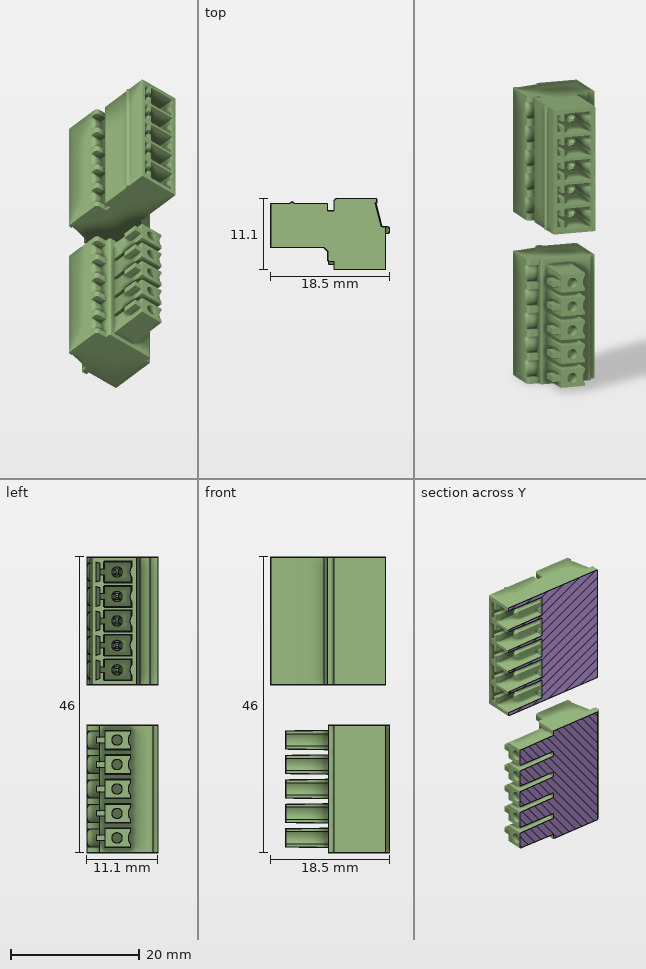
import cadquery as cq
import math

total_height = 46.05
pole_count = 5
pole_pitch = 3.805
half_height = 19.9

contact_y = 6.4
body_step_x = 9.85
body_back_x = 17.9
body_top_y = 11.1
notch_floor_y = 9.15
block_corner_radius = 0.55
front_edge_radius = 0.28

slope_top_x = 16.25
slope_top_y = 10.4
slope_bottom_x = 17.2
shoulder_y = 6.67
lip_back_x = 16.52
lip_corner_radius = 0.25

relief_width = 2.8
relief_crest_x = 10.55
relief_bottom_radius = 2.1

socket_base_z = total_height - half_height
shroud_bottom_y = 3.4
shroud_top_y = 10.3
shroud_end_x = 8.9
shroud_chamfer = 0.6
shroud_corner_radius = 0.25
socket_step_y = 1.25
ridge_x = 3.35
ridge_height = 0.28
ridge_half_width = 0.35

cavity_depth = 6.67
cavity_mouth_height = 3.35
cavity_floor_height = 3.18
cavity_mouth_bottom_y = 4.05
cavity_floor_bottom_y = 4.25
cavity_top_y = 8.4
entry_step_depth = 0.45
entry_step_top_y = 8.5
cavity_rib_diameter = 2.8
cavity_rib_crest_y = 4.35

key_slot_width = 0.87
key_slot_top_y = 9.0
coding_top_y = 9.7
coding_inner_width = 2.65
coding_outer_width = 3.1
coding_depth = 5.52

pin_side = 0.9
pin_tip_side = 0.35
pin_tip_length = 0.45
pin_tip_x = 2.0
pin_recess_diameter = 1.6
pin_recess_depth = 0.45

plug_front_x = 8.98
plug_step_y = 0.8
plug_slope_offset = 0.15
tab_bottom_y = 5.6
tab_back_x = 18.5
tab_corner_radius = 0.3

leg_tip_x = 2.35
leg_bottom_y = 4.3
leg_top_y = 8.3
leg_tip_height = 2.85
leg_root_height = 3.05
leg_groove_diameter = 2.9
leg_groove_depth = 0.35
leg_hole_diameter = 1.6
leg_hole_depth = 5.52
leg_key_width = 0.87
leg_key_top_y = 9.57
leg_key_setback = 0.2
leg_key_length = 2.55


def pole_heights(base_z):
    """Z of each pole axis in a half that starts at base_z."""
    middle_z = base_z + half_height / 2
    return [middle_z + (i - (pole_count - 1) / 2) * pole_pitch for i in range(pole_count)]


def box(x_range, y_range, z_center, height):
    """Box given by its X and Y ranges, centred on z_center."""
    width = x_range[1] - x_range[0]
    depth = y_range[1] - y_range[0]
    return (
        cq.Workplane("XY")
        .box(width, depth, height, centered=(False, False, True))
        .translate((x_range[0], y_range[0], z_center))
    )


def cylinder_along_x(diameter, x_range, y, z):
    """Round bar parallel to X."""
    return cq.Workplane("YZ", origin=(x_range[0], y, z)).circle(diameter / 2).extrude(x_range[1] - x_range[0])


def add_block_rear(outline, slope_offset=0.0):
    """Continue an outline at the rear shoulder, over the slope and lip, down to the notch floor.

    slope_offset moves the slope toward the rear.
    """
    return (
        outline.lineTo(slope_bottom_x + slope_offset, shoulder_y)
        .lineTo(slope_top_x + slope_offset, slope_top_y)
        .lineTo(lip_back_x, slope_top_y)
        .lineTo(lip_back_x, body_top_y - lip_corner_radius)
        .radiusArc((lip_back_x - lip_corner_radius, body_top_y), -lip_corner_radius)
        .lineTo(body_step_x + block_corner_radius, body_top_y)
        .radiusArc((body_step_x, body_top_y - block_corner_radius), -block_corner_radius)
        .lineTo(body_step_x, notch_floor_y)
    )


def relief(z):
    """Slot in the block front whose bottom bulges forward as a round column parallel to Y."""
    half_width = relief_width / 2
    edge_x = relief_crest_x + relief_bottom_radius - math.sqrt(relief_bottom_radius**2 - half_width**2)
    slot = box((body_step_x, edge_x), (notch_floor_y, body_top_y), z, relief_width)
    column = (
        cq.Workplane("XZ", origin=(relief_crest_x + relief_bottom_radius, notch_floor_y, z))
        .circle(relief_bottom_radius)
        .extrude(notch_floor_y - body_top_y)
        .faces(">Y")
        .edges()
        .fillet(block_corner_radius)
    )
    return slot.cut(column)


def cut_reliefs(body, base_z):
    for z in pole_heights(base_z):
        body = body.cut(relief(z))
    return body


def socket_profile():
    outline = (
        cq.Workplane("XY", origin=(0, 0, socket_base_z))
        .moveTo(0, shroud_bottom_y)
        .lineTo(shroud_end_x - shroud_chamfer, shroud_bottom_y)
        .lineTo(shroud_end_x, shroud_bottom_y - shroud_chamfer)
        .lineTo(shroud_end_x, socket_step_y + front_edge_radius)
        .radiusArc((shroud_end_x + front_edge_radius, socket_step_y), -front_edge_radius)
        .lineTo(body_step_x, socket_step_y)
        .lineTo(body_step_x, 0)
        .lineTo(body_back_x, 0)
        .lineTo(body_back_x, shoulder_y)
    )
    return (
        add_block_rear(outline)
        .lineTo(shroud_end_x, notch_floor_y)
        .lineTo(shroud_end_x, shroud_top_y - shroud_corner_radius)
        .radiusArc((shroud_end_x - shroud_corner_radius, shroud_top_y), -shroud_corner_radius)
        .lineTo(ridge_x + ridge_half_width, shroud_top_y)
        .lineTo(ridge_x, shroud_top_y + ridge_height)
        .lineTo(ridge_x - ridge_half_width, shroud_top_y)
        .lineTo(0, shroud_top_y)
        .close()
        .extrude(half_height)
    )


def cavity(z):
    """Space for one plug leg: a tapered pocket with a guide rib, a key slot and a coding channel."""
    pocket = (
        cq.Workplane("YZ", origin=(0, cavity_top_y, z))
        .center((cavity_mouth_bottom_y - cavity_top_y) / 2, 0)
        .rect(cavity_top_y - cavity_mouth_bottom_y, cavity_mouth_height)
        .workplane(offset=cavity_depth)
        .center((cavity_floor_bottom_y - cavity_mouth_bottom_y) / 2, 0)
        .rect(cavity_top_y - cavity_floor_bottom_y, cavity_floor_height)
        .loft()
    )
    entry_step = box((0, entry_step_depth), (contact_y, entry_step_top_y), z, cavity_floor_height)
    rib_center_y = cavity_rib_crest_y - cavity_rib_diameter / 2
    rib = cylinder_along_x(cavity_rib_diameter, (0, cavity_depth), rib_center_y, z)
    key_slot = box((0, cavity_depth), (cavity_top_y, key_slot_top_y), z, key_slot_width)
    coding_channel = (
        cq.Workplane("YZ")
        .polyline([
            (key_slot_top_y, z - coding_inner_width / 2),
            (coding_top_y, z - coding_outer_width / 2),
            (coding_top_y, z + coding_outer_width / 2),
            (key_slot_top_y, z + coding_inner_width / 2),
        ])
        .close()
        .extrude(coding_depth)
    )
    pin_recess = cylinder_along_x(
        pin_recess_diameter, (cavity_depth, cavity_depth + pin_recess_depth), contact_y, z
    )
    return pocket.union(entry_step).cut(rib).union(key_slot).union(coding_channel).union(pin_recess)


def contact_pin(z):
    """Square pin with a tapered tip, rooted in the floor of its recess."""
    shank_x = pin_tip_x + pin_tip_length
    shank = box(
        (shank_x, cavity_depth + pin_recess_depth),
        (contact_y - pin_side / 2, contact_y + pin_side / 2),
        z,
        pin_side,
    )
    tip = (
        cq.Workplane("YZ", origin=(pin_tip_x, contact_y, z))
        .rect(pin_tip_side, pin_tip_side)
        .workplane(offset=pin_tip_length)
        .rect(pin_side, pin_side)
        .loft()
    )
    return shank.union(tip)


def make_socket():
    body = cut_reliefs(socket_profile(), socket_base_z)
    for z in pole_heights(socket_base_z):
        body = body.cut(cavity(z)).union(contact_pin(z))
    return body


def plug_profile():
    outline = (
        cq.Workplane("XY")
        .moveTo(plug_front_x, plug_step_y + front_edge_radius)
        .radiusArc((plug_front_x + front_edge_radius, plug_step_y), -front_edge_radius)
        .lineTo(body_step_x, plug_step_y)
        .lineTo(body_step_x, 0)
        .lineTo(body_back_x, 0)
        .lineTo(body_back_x, tab_bottom_y)
        .lineTo(tab_back_x - tab_corner_radius, tab_bottom_y)
        .radiusArc((tab_back_x, tab_bottom_y + tab_corner_radius), -tab_corner_radius)
        .lineTo(tab_back_x, shoulder_y - tab_corner_radius)
        .radiusArc((tab_back_x - tab_corner_radius, shoulder_y), -tab_corner_radius)
    )
    return (
        add_block_rear(outline, plug_slope_offset)
        .lineTo(plug_front_x + front_edge_radius, notch_floor_y)
        .radiusArc((plug_front_x, notch_floor_y - front_edge_radius), -front_edge_radius)
        .close()
        .extrude(half_height)
    )


def leg(z):
    """Leg that thickens slightly from tip to root, with a groove below and a key on top."""
    leg_length = plug_front_x - leg_tip_x
    leg_depth = leg_top_y - leg_bottom_y
    bar = (
        cq.Workplane("YZ", origin=(leg_tip_x, (leg_bottom_y + leg_top_y) / 2, z))
        .rect(leg_depth, leg_tip_height)
        .workplane(offset=leg_length)
        .rect(leg_depth, leg_root_height)
        .loft()
    )
    groove_center_y = leg_bottom_y + leg_groove_depth - leg_groove_diameter / 2
    groove = cylinder_along_x(leg_groove_diameter, (leg_tip_x, plug_front_x), groove_center_y, z)
    key_x = leg_tip_x + leg_key_setback
    key = box((key_x, key_x + leg_key_length), (leg_top_y, leg_key_top_y), z, leg_key_width)
    hole = cylinder_along_x(leg_hole_diameter, (leg_tip_x, leg_tip_x + leg_hole_depth), contact_y, z)
    return bar.union(key).cut(groove).cut(hole)


def make_plug():
    body = cut_reliefs(plug_profile(), 0)
    for z in pole_heights(0):
        body = body.union(leg(z))
    return body


socket = make_socket()
plug = make_plug()
result = cq.Compound.makeCompound([socket.val(), plug.val()])